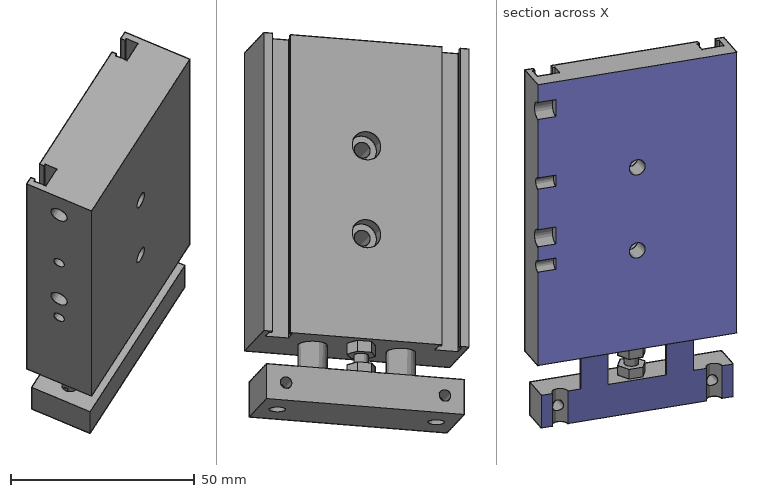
import cadquery as cq

total_height = 104.0
housing_depth = 20.0
housing_width = 58.0
plate_height = 10.0
gap_height = 9.0
housing_bottom = plate_height + gap_height
housing_height = total_height - housing_bottom
mid_depth = housing_depth / 2

slot_neck_width = 5.1
slot_wide_width = 6.5
slot_neck_depth = 1.4
slot_depth = 5.0
slot_lip_width = 2.5
slot_offset = housing_width / 2 - slot_lip_width - slot_neck_width / 2

mount_hole_diameter = 4.5
mount_bore_diameter = 8.0
mount_bore_depth = 4.4
mount_hole_heights = (total_height - 30.0, total_height - 55.0)

port_diameter = 5.0
port_depth = 5.2
port_heights = (total_height - 8.0, total_height - 46.5)
side_hole_diameter = 3.2
side_hole_depth = 5.2
side_hole_heights = mount_hole_heights

plate_depth = 18.0
plate_width = 56.0
plate_hole_offset = 22.5
plate_cross_hole_diameter = 3.2
plate_vertical_hole_diameter = 4.5
rod_diameter = 8.0
rod_offset = 12.5

bolt_x = 5.5
shank_diameter = 4.0
hex_across_flats = 7.0
upper_hex_height = 3.1
lower_hex_height = 2.9


def cylinder_x(diameter, length, start_x, y, z):
    """Cylinder that runs toward +X from start_x."""
    start = cq.Vector(start_x, y, z)
    return cq.Workplane(cq.Solid.makeCylinder(diameter / 2, length, start, cq.Vector(1, 0, 0)))


def side_hole(diameter, depth, z):
    """Cutter for a flat-bottomed hole that enters the housing from its -Y side."""
    start = cq.Vector(mid_depth, -housing_width / 2, z)
    return cq.Workplane(cq.Solid.makeCylinder(diameter / 2, depth, start, cq.Vector(0, 1, 0)))


def t_slot(y):
    """Cutter for a T-slot that opens on the -X face."""
    wide_depth = slot_depth - slot_neck_depth
    wide_x = slot_neck_depth + wide_depth / 2
    slot_base = cq.Workplane("XY").workplane(offset=housing_bottom)
    neck = slot_base.center(slot_depth / 2, y).rect(slot_depth, slot_neck_width).extrude(housing_height)
    wide = slot_base.center(wide_x, y).rect(wide_depth, slot_wide_width).extrude(housing_height)
    return neck.union(wide)


def make_housing():
    body = (
        cq.Workplane("XY")
        .workplane(offset=housing_bottom)
        .center(mid_depth, 0)
        .rect(housing_depth, housing_width)
        .extrude(housing_height)
    )
    for y in (-slot_offset, slot_offset):
        body = body.cut(t_slot(y))
    for z in mount_hole_heights:
        body = body.cut(cylinder_x(mount_hole_diameter, housing_depth, 0, 0, z))
        body = body.cut(cylinder_x(mount_bore_diameter, mount_bore_depth, 0, 0, z))
    for z in port_heights:
        body = body.cut(side_hole(port_diameter, port_depth, z))
    for z in side_hole_heights:
        body = body.cut(side_hole(side_hole_diameter, side_hole_depth, z))
    return body


def make_rod_plate():
    """End plate with the two guide rods standing on it up to the housing."""
    plate = cq.Workplane("XY").center(mid_depth, 0).rect(plate_depth, plate_width).extrude(plate_height)
    plate_front = mid_depth - plate_depth / 2
    for y in (-plate_hole_offset, plate_hole_offset):
        vertical_hole = (
            cq.Workplane("XY")
            .center(mid_depth, y)
            .circle(plate_vertical_hole_diameter / 2)
            .extrude(plate_height)
        )
        cross_hole = cylinder_x(plate_cross_hole_diameter, plate_depth / 2, plate_front, y, plate_height / 2)
        plate = plate.cut(vertical_hole).cut(cross_hole)
    rods = (
        cq.Workplane("XY")
        .workplane(offset=plate_height)
        .pushPoints([(mid_depth, -rod_offset), (mid_depth, rod_offset)])
        .circle(rod_diameter / 2)
        .extrude(gap_height)
    )
    return plate.union(rods)


def bolt_hex(base_z, height):
    """Hexagonal prism with one pair of flats facing along X and corners along Y."""
    return (
        cq.Workplane("XY", origin=(bolt_x, 0, base_z))
        .polygon(6, hex_across_flats, circumscribed=True)
        .extrude(height)
    )


def make_stop_bolt():
    shank = (
        cq.Workplane("XY", origin=(bolt_x, 0, plate_height))
        .circle(shank_diameter / 2)
        .extrude(gap_height)
    )
    lower_hex = bolt_hex(plate_height, lower_hex_height)
    upper_hex = bolt_hex(housing_bottom - upper_hex_height, upper_hex_height)
    return shank.union(lower_hex).union(upper_hex)


housing = make_housing()
rod_plate = make_rod_plate()
stop_bolt = make_stop_bolt()

result = cq.Compound.makeCompound([housing.val(), rod_plate.val(), stop_bolt.val()])